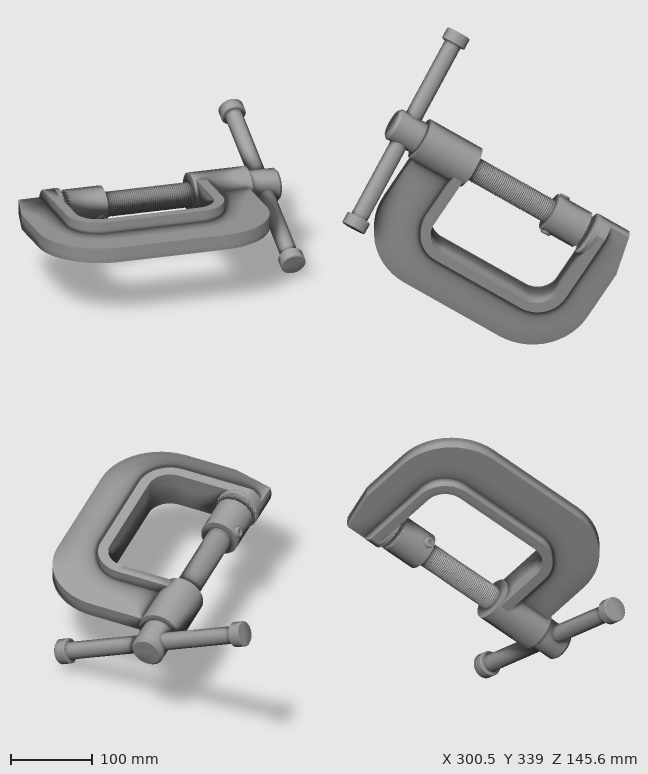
import cadquery as cq
import math


FRAME_RIGHT = 171.5
WEB_TOP = 294.0
WEB_THICKNESS = 19.0
OUTER_RADIUS = 79.0
RIM_RIGHT = 120.0
RIM_TOP = 241.8
RIM_BOTTOM = 39.7
RIM_RADIUS = 40.5
RIM_WIDTH = 12.5
RIM_THICKNESS = 48.0
BOSS_RADIUS = 27.0
BOSS_TOP = 299.0
BOSS_BOTTOM = 225.5
ANVIL_TOP = 58.5
TAPER_END_X = 25.8
TAPER_RISE = 13.5

SCREW_TOP = 339.0
HEAD_RADIUS = 20.7
HEAD_GAP = 1.0
HEAD_CHAMFER = 3.5
THREAD_RADIUS = 15.5
THREAD_DEPTH = 1.5
THREAD_PITCH = 2.48
NOSE_RADIUS = THREAD_RADIUS - THREAD_DEPTH
NOSE_LENGTH = 23.7

HANDLE_ANGLE = 25.8
HANDLE_LENGTH = 272.5
HANDLE_Y = 319.0
BAR_RADIUS = 11.0
KNOB_RADIUS = 15.5
KNOB_LENGTH = 15.0
KNOB_CHAMFER = 1.0
KNOB_FILLET = 1.5

PAD_RADIUS = 24.0
PAD_TOP = 112.5
PAD_BOTTOM = 64.5

TOOTH_PITCH = 2.7
TOOTH_DEPTH = 2.0

PAD_SCREW_Y = 104.0
PAD_SCREW_RADIUS = 6.8
PAD_SCREW_SEAT = 22.7
PAD_SCREW_TOP = 26.8
PAD_SCREW_FILLET = 2.0
PAD_SHANK_RADIUS = 4.5
SOCKET_WIDTH = 7.5
SOCKET_DEPTH = 2.5


def y_cylinder(radius, y_start, y_end):
    """A cylinder on the screw axis."""
    return (
        cq.Workplane("XZ", origin=(0, y_start, 0))
        .circle(radius)
        .extrude(y_start - y_end)
    )


def x_cylinder(radius, x_start, x_end, y):
    """A cylinder parallel to X at height y along the screw."""
    return cq.Workplane("YZ", origin=(x_start, y, 0)).circle(radius).extrude(x_end - x_start)


def turned(body):
    """Turn a body about the screw axis by the handle angle."""
    return body.rotate((0, 0, 0), (0, 1, 0), HANDLE_ANGLE)


def tooth_grooves(face_y, into):
    """Two crossing rows of V grooves in a face at face_y; into is the direction of depth along Y."""
    count = math.ceil(2 * BOSS_RADIUS / TOOTH_PITCH)
    half = TOOTH_PITCH / 2
    outline = [(-count * half, face_y)]
    for index in range(count):
        middle = (index + 0.5) * TOOTH_PITCH - count * half
        outline.append((middle, face_y + into * TOOTH_DEPTH))
        outline.append((middle + half, face_y))
    start, end = outline[0][0], outline[-1][0]
    outline += [(end, face_y - into * TOOTH_DEPTH), (start, face_y - into * TOOTH_DEPTH)]
    row = cq.Workplane("XY").polyline(outline).close().extrude(BOSS_RADIUS + TOOTH_PITCH, both=True)
    return [row, row.rotate((0, 0, 0), (0, 1, 0), 90)]


def rounded_block(right, bottom, height, radius):
    """A block of rim thickness reaching left past the arm ends, its right corners rounded."""
    return (
        cq.Workplane("XY", origin=(-BOSS_RADIUS, bottom, 0))
        .rect(right + BOSS_RADIUS, height, centered=False)
        .extrude(RIM_THICKNESS / 2, both=True)
        .edges("|Z and >X")
        .fillet(radius)
    )


def make_frame():
    web = (
        cq.Workplane("XY")
        .moveTo(-BOSS_RADIUS, WEB_TOP)
        .lineTo(FRAME_RIGHT, WEB_TOP)
        .lineTo(FRAME_RIGHT, 0)
        .lineTo(TAPER_END_X, 0)
        .lineTo(-BOSS_RADIUS, TAPER_RISE)
        .close()
        .extrude(WEB_THICKNESS / 2, both=True)
    )
    web = web.edges("|Z and >X").fillet(OUTER_RADIUS)

    rim_height = RIM_TOP - RIM_BOTTOM
    rim = rounded_block(RIM_RIGHT, RIM_BOTTOM, rim_height, RIM_RADIUS)
    window = rounded_block(
        RIM_RIGHT - RIM_WIDTH,
        RIM_BOTTOM + RIM_WIDTH,
        rim_height - 2 * RIM_WIDTH,
        RIM_RADIUS - RIM_WIDTH,
    )
    arms = web.union(rim).cut(window)

    end_round = y_cylinder(BOSS_RADIUS, 0, ANVIL_TOP)
    right_of_axis = cq.Workplane("XY").box(
        FRAME_RIGHT, WEB_TOP, RIM_THICKNESS, centered=(False, False, True)
    )
    arms = arms.intersect(right_of_axis.union(end_round))

    boss = y_cylinder(BOSS_RADIUS, BOSS_BOTTOM, BOSS_TOP)
    anvil = y_cylinder(BOSS_RADIUS, RIM_BOTTOM + RIM_WIDTH, ANVIL_TOP)
    for grooves in tooth_grooves(ANVIL_TOP, -1):
        anvil = anvil.cut(grooves)
    screw_hole = y_cylinder(THREAD_RADIUS, BOSS_BOTTOM, BOSS_TOP)
    return arms.union(boss).union(anvil).cut(screw_hole)


def make_screw():
    turns = math.floor((BOSS_BOTTOM - PAD_TOP) / THREAD_PITCH)
    outline = [
        (0, SCREW_TOP),
        (HEAD_RADIUS - HEAD_CHAMFER, SCREW_TOP),
        (HEAD_RADIUS, SCREW_TOP - HEAD_CHAMFER),
        (HEAD_RADIUS, BOSS_TOP + HEAD_GAP),
        (THREAD_RADIUS, BOSS_TOP + HEAD_GAP),
        (THREAD_RADIUS, BOSS_BOTTOM),
    ]
    for turn in range(turns):
        crest_y = BOSS_BOTTOM - turn * THREAD_PITCH
        outline.append((NOSE_RADIUS, crest_y - THREAD_PITCH / 2))
        outline.append((THREAD_RADIUS, crest_y - THREAD_PITCH))
    outline += [
        (THREAD_RADIUS, PAD_TOP),
        (NOSE_RADIUS, PAD_TOP),
        (NOSE_RADIUS, PAD_TOP - NOSE_LENGTH),
        (0, PAD_TOP - NOSE_LENGTH),
    ]
    screw = cq.Workplane("XY").polyline(outline).close().revolve(360, (0, 0, 0), (0, 1, 0))
    bar_hole = x_cylinder(BAR_RADIUS, -HEAD_RADIUS, HEAD_RADIUS, HANDLE_Y)
    return screw.cut(turned(bar_hole))


def make_handle():
    """The bar and its two knobs, revolved about the bar axis and mirrored about the screw axis."""
    end_x = HANDLE_LENGTH / 2
    inner_x = end_x - KNOB_LENGTH
    half = (
        cq.Workplane("XY", origin=(0, HANDLE_Y, 0))
        .lineTo(0, BAR_RADIUS)
        .lineTo(inner_x - KNOB_FILLET, BAR_RADIUS)
        .tangentArcPoint((inner_x, BAR_RADIUS + KNOB_FILLET), relative=False)
        .lineTo(inner_x, KNOB_RADIUS - KNOB_CHAMFER)
        .lineTo(inner_x + KNOB_CHAMFER, KNOB_RADIUS)
        .lineTo(end_x - KNOB_CHAMFER, KNOB_RADIUS)
        .lineTo(end_x, KNOB_RADIUS - KNOB_CHAMFER)
        .lineTo(end_x, 0)
        .close()
        .revolve(360, (0, 0, 0), (1, 0, 0))
    )
    return turned(half.union(half.mirror("YZ")))


def make_pad():
    pad = y_cylinder(PAD_RADIUS, PAD_BOTTOM, PAD_TOP)
    pad = pad.cut(y_cylinder(NOSE_RADIUS, PAD_TOP - NOSE_LENGTH, PAD_TOP))
    for side in (-1, 1):
        pad = pad.cut(x_cylinder(PAD_SHANK_RADIUS, 0, side * PAD_RADIUS, PAD_SCREW_Y))
        seat = x_cylinder(PAD_SCREW_RADIUS, side * PAD_SCREW_SEAT, side * PAD_RADIUS, PAD_SCREW_Y)
        pad = pad.cut(seat)
    for grooves in tooth_grooves(PAD_BOTTOM, 1):
        pad = pad.cut(grooves)
    return turned(pad)


def make_pad_screw(side):
    """A button-headed screw in the pad wall, its shank ending on the nose of the main screw."""
    head = (
        x_cylinder(PAD_SCREW_RADIUS, side * PAD_SCREW_SEAT, side * PAD_SCREW_TOP, PAD_SCREW_Y)
        .faces(">X" if side > 0 else "<X")
        .edges()
        .fillet(PAD_SCREW_FILLET)
    )
    socket_floor = PAD_SCREW_TOP - SOCKET_DEPTH
    socket = (
        cq.Workplane("YZ", origin=(side * socket_floor, PAD_SCREW_Y, 0))
        .polygon(6, SOCKET_WIDTH)
        .extrude(side * SOCKET_DEPTH)
    )
    shank = x_cylinder(PAD_SHANK_RADIUS, 0, side * PAD_SCREW_SEAT, PAD_SCREW_Y)
    nose = y_cylinder(NOSE_RADIUS, PAD_TOP - NOSE_LENGTH, PAD_TOP)
    return turned(head.cut(socket).union(shank.cut(nose)))


frame = make_frame()
screw = make_screw()
handle = make_handle()
pad = make_pad()
pad_screws = [make_pad_screw(side) for side in (-1, 1)]

result = cq.Compound.makeCompound(
    [
        frame.val(),
        screw.val(),
        handle.val(),
        pad.val(),
        *[pad_screw.val() for pad_screw in pad_screws],
    ]
)